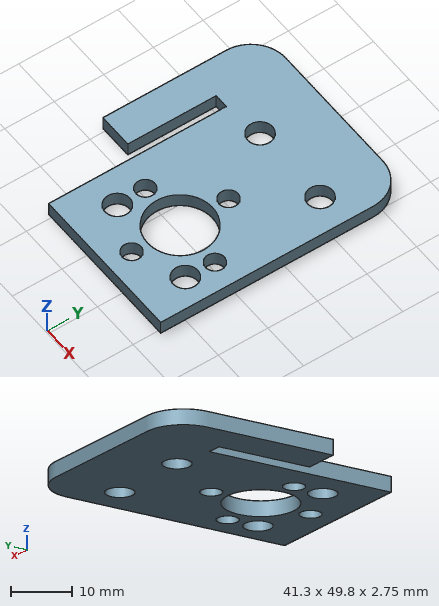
import cadquery as cq

plate_width = 41.33
plate_height = 49.83
thickness = 2.75
corner_radius = 7.0

arm_width = 7.0
body_width = 31.5
arm_length = 31.83
slot_end_from_top = 14.0

bore_diameter = 13.1
bore_to_right_edge = 15.15
bore_to_bottom_edge = 14.78

small_hole_diameter = 3.81
small_hole_circle_radius = 9.78
small_hole_count = 4

large_hole_diameter = 5.0
upper_pair_spacing = 16.86
upper_pair_y = 22.17
lower_pair_spacing = 19.1
lower_pair_y = -5.8

right_x = bore_to_right_edge
left_x = right_x - plate_width
body_left_x = right_x - body_width
arm_right_x = left_x + arm_width
bottom_y = -bore_to_bottom_edge
top_y = bottom_y + plate_height
arm_bottom_y = top_y - arm_length
slot_end_y = top_y - slot_end_from_top


def make_plate():
    """Hook-shaped plate with its two top corners rounded."""
    return (
        cq.Workplane("XY")
        .moveTo(body_left_x, bottom_y)
        .lineTo(right_x, bottom_y)
        .lineTo(right_x, top_y - corner_radius)
        .radiusArc((right_x - corner_radius, top_y), -corner_radius)
        .lineTo(left_x + corner_radius, top_y)
        .radiusArc((left_x, top_y - corner_radius), -corner_radius)
        .lineTo(left_x, arm_bottom_y)
        .lineTo(arm_right_x, arm_bottom_y)
        .lineTo(arm_right_x, slot_end_y)
        .lineTo(body_left_x, slot_end_y)
        .close()
        .extrude(thickness)
    )


def cut_bore(plate):
    """Large through bore at the origin."""
    return plate.cut(cq.Workplane("XY").circle(bore_diameter / 2).extrude(thickness))


def cut_small_holes(plate):
    """Ring of small through holes around the bore."""
    holes = (
        cq.Workplane("XY")
        .polarArray(small_hole_circle_radius, 0, 360, small_hole_count)
        .circle(small_hole_diameter / 2)
        .extrude(thickness)
    )
    return plate.cut(holes)


def cut_hole_pair(plate, spacing, y):
    """Two large through holes, mirrored about the bore centreline."""
    holes = (
        cq.Workplane("XY")
        .pushPoints([(-spacing / 2, y), (spacing / 2, y)])
        .circle(large_hole_diameter / 2)
        .extrude(thickness)
    )
    return plate.cut(holes)


result = make_plate()
result = cut_bore(result)
result = cut_small_holes(result)
result = cut_hole_pair(result, upper_pair_spacing, upper_pair_y)
result = cut_hole_pair(result, lower_pair_spacing, lower_pair_y)